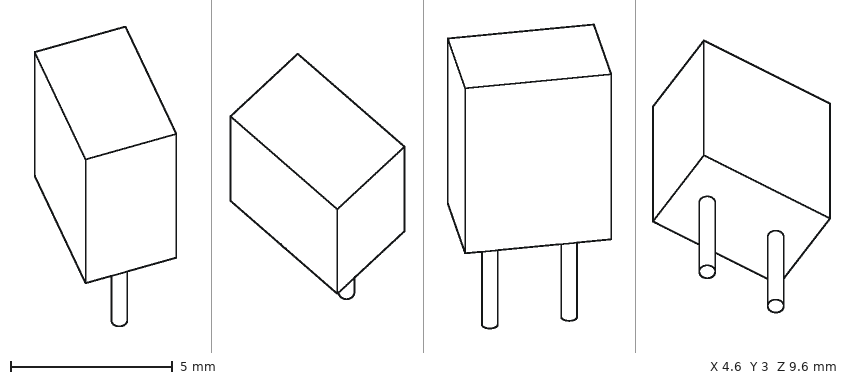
import cadquery as cq

total_height = 9.6
body_width = 4.6
body_depth = 3.0

lead_length = 3.6
lead_diameter = 0.5
lead_pitch = 2.5

body_height = total_height - lead_length


def make_body():
    """Rectangular block standing on the XY plane."""
    return cq.Workplane("XY").box(body_width, body_depth, body_height, centered=(True, True, False))


def make_leads():
    """Pair of straight pins hanging from the underside of the body."""
    lead_centres = [(-lead_pitch / 2, 0), (lead_pitch / 2, 0)]
    return cq.Workplane("XY").pushPoints(lead_centres).circle(lead_diameter / 2).extrude(-lead_length)


result = make_body().union(make_leads())